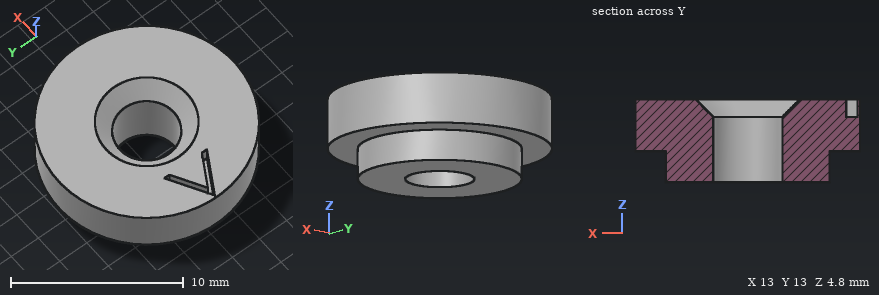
import cadquery as cq
import math

flange_diameter = 13.0
flange_thickness = 3.0
boss_diameter = 9.5
boss_height = 1.8
total_height = boss_height + flange_thickness

hole_diameter = 4.0
countersink_diameter = 6.0
countersink_angle = 90.0

arrow_tip_x = -6.35
arrow_end_x = -3.63
arrow_half_angle = math.radians(30.0)
arrow_stroke = 0.32
arrow_depth = 1.0


def make_body():
    """Round flange standing on a smaller concentric boss."""
    boss = cq.Workplane("XY").circle(boss_diameter / 2).extrude(boss_height)
    flange = (
        cq.Workplane("XY", origin=(0, 0, boss_height))
        .circle(flange_diameter / 2)
        .extrude(flange_thickness)
    )
    return boss.union(flange)


def make_arrow():
    """Chevron with two straight strokes, cut off square to X at the open end."""
    slope = math.tan(arrow_half_angle)
    inner_tip_x = arrow_tip_x + arrow_stroke / math.sin(arrow_half_angle)
    outer_end_y = (arrow_end_x - arrow_tip_x) * slope
    inner_end_y = (arrow_end_x - inner_tip_x) * slope
    return (
        cq.Workplane("XY", origin=(0, 0, total_height))
        .polyline([
            (arrow_tip_x, 0),
            (arrow_end_x, -outer_end_y),
            (arrow_end_x, -inner_end_y),
            (inner_tip_x, 0),
            (arrow_end_x, inner_end_y),
            (arrow_end_x, outer_end_y),
        ])
        .close()
        .extrude(-arrow_depth)
    )


body = make_body().faces(">Z").workplane()
body = body.cskHole(hole_diameter, countersink_diameter, countersink_angle)
result = body.cut(make_arrow())